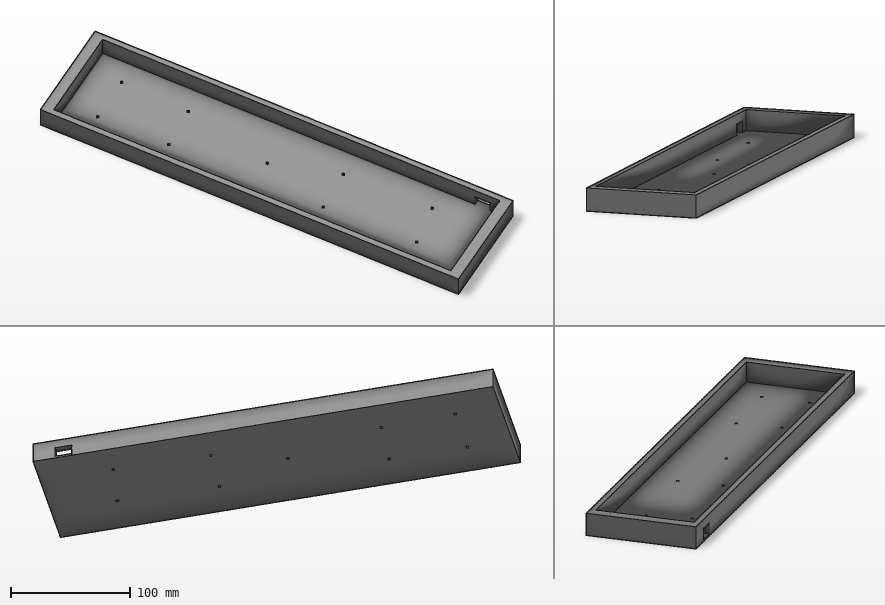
import cadquery as cq

length = 397.0
width = 97.5
height = 20.0
end_wall = 10.0
side_wall = 5.0
floor_thickness = 2.0

opening_width = 14.3
opening_height = 9.5
opening_corner_gap = 9.0

hole_diameter = 2.2
hole_centres = [
    (-159.5, 23.0),
    (-159.5, -20.0),
    (-95.3, 21.0),
    (-92.5, -18.5),
    (-10.0, 2.0),
    (52.0, 21.0),
    (54.0, -18.5),
    (135.5, 23.0),
    (141.5, -16.0),
]

inner_length = length - 2 * end_wall
inner_width = width - 2 * side_wall


def base_plate():
    """Flat floor with its mounting holes."""
    plate = cq.Workplane("XY").box(length, width, floor_thickness, centered=(True, True, False))
    return plate.faces(">Z").workplane().pushPoints(hole_centres).hole(hole_diameter)


def wall_frame():
    """Rectangular rim standing on the floor, with the cable opening."""
    rim = (
        cq.Workplane("XY", origin=(0, 0, floor_thickness))
        .rect(length, width)
        .rect(inner_length, inner_width)
        .extrude(height - floor_thickness)
    )
    opening_x = inner_length / 2 - opening_corner_gap - opening_width / 2
    opening_y = (width - side_wall) / 2
    opening = cq.Workplane("XY", origin=(opening_x, opening_y, floor_thickness)).box(
        opening_width, side_wall, opening_height, centered=(True, True, False)
    )
    return rim.cut(opening)


result = base_plate().union(wall_frame())